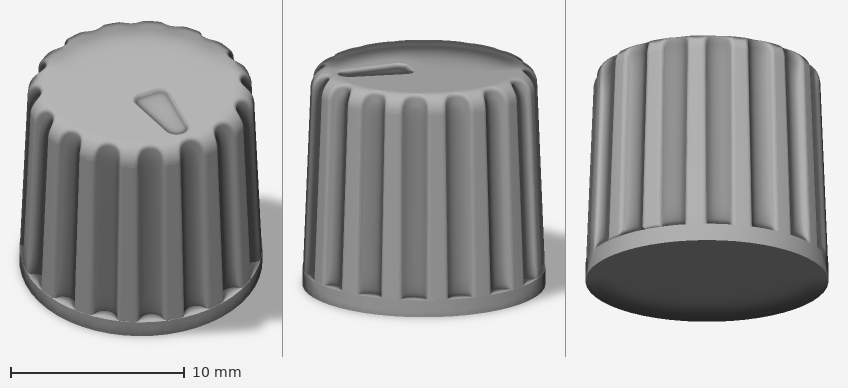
import cadquery as cq
import math

height = 13.0
rim_radius = 7.0
rim_height = 1.01

grip_base_radius = 6.97
grip_draft = 2.3
crown_radius = 1.09
grip_height = height - rim_height

flute_count = 16
flute_pitch = 360 / flute_count
flute_radius = 0.74
flute_floor_radius = 6.25
flute_axis_radius = flute_floor_radius + flute_radius
flute_overrun = 2.8
flute_lip_fillet = 0.22

flute_foot_rounding = 0.48
land_foot_rounding = 0.21
foot_cut_clearance = 0.14

pointer_heel_x = 0.77
pointer_heel_radius = 0.63
pointer_heel_center_x = pointer_heel_x + pointer_heel_radius
pointer_heel_center_y = 0.52
pointer_tip_x = 5.21
pointer_tip_radius = 0.77
pointer_tip_center_x = pointer_tip_x - pointer_tip_radius
pointer_depth = 0.22
pointer_wall_taper = 45
pointer_edge_fillet = 0.15


def wall_radius_at(z):
    """Radius of the drafted grip wall at height z."""
    return grip_base_radius - (z - rim_height) * math.tan(math.radians(grip_draft))


def make_grip():
    """Drafted grip with a rounded crown, standing on the rim."""
    profile = [
        (0, rim_height),
        (grip_base_radius, rim_height),
        (wall_radius_at(height), height),
        (0, height),
    ]
    grip = cq.Workplane("XZ").polyline(profile).close().revolve(360, (0, 0), (0, 1))
    return grip.edges(">Z").fillet(crown_radius)


def make_flute_cutter(index):
    """Cylinder that leans inward with the grip wall, turned to its place on the grip."""
    cutter = (
        cq.Workplane("XY")
        .workplane(offset=-flute_overrun)
        .circle(flute_radius)
        .extrude(grip_height + 2 * flute_overrun)
        .rotate((0, 0, 0), (0, 1, 0), -grip_draft)
        .translate((flute_axis_radius, 0, rim_height))
    )
    return cutter.rotate((0, 0, 0), (0, 0, 1), index * flute_pitch)


def is_flute_lip(edge):
    """True for the upright edges where a flute meets the grip wall or the crown."""
    tolerance = 0.01
    shortest_rise = 0.14
    box = edge.BoundingBox()
    middle = edge.positionAt(0.5)
    on_wall = abs(math.hypot(middle.x, middle.y) - wall_radius_at(middle.z)) < tolerance
    on_crown = box.zmin > height - crown_radius
    return box.zlen > shortest_rise and (on_wall or on_crown)


def cut_flutes(grip):
    """Cut every flute and round its lips."""
    for index in range(flute_count):
        grip = grip.cut(make_flute_cutter(index))
    lips = [edge for edge in grip.edges().vals() if is_flute_lip(edge)]
    return grip.newObject(lips).fillet(flute_lip_fillet)


def make_foot_cutter(wall_radius, rounding, side, sweep):
    """Ring, swept by an angle from +X, that leaves a quarter-round at the foot of a wall.

    side is +1 for a wall with material inside it and -1 for a wall with material around it.
    """
    bulge = (1 - math.sqrt(0.5)) * rounding
    top = rim_height + rounding
    clear_radius = wall_radius + side * foot_cut_clearance
    profile = (
        cq.Workplane("XZ")
        .moveTo(wall_radius - side * rounding, rim_height)
        .threePointArc((wall_radius - side * bulge, rim_height + bulge), (wall_radius, top))
        .lineTo(clear_radius, top)
        .lineTo(clear_radius, rim_height)
        .close()
    )
    return profile.revolve(sweep, (0, 0), (0, 1))


def round_foot(grip):
    """Round the lower edges of the -X flute and of the two lands beside it."""
    land_radius = wall_radius_at(rim_height + land_foot_rounding)
    lands = make_foot_cutter(land_radius, land_foot_rounding, 1, 2 * flute_pitch)
    lands = lands.rotate((0, 0, 0), (0, 0, 1), 180 - flute_pitch)

    flute = make_foot_cutter(flute_radius, flute_foot_rounding, -1, 360)
    flute = flute.rotate((0, 0, rim_height), (0, 1, rim_height), grip_draft)
    flute = flute.translate((-flute_axis_radius, 0, 0))
    return grip.cut(lands).cut(flute)


def make_pointer_cutter():
    """Tapered recess: a wide heel with rounded corners narrowing to a round tip towards +X."""
    run = pointer_tip_center_x - pointer_heel_center_x
    center_distance = math.hypot(run, pointer_heel_center_y)
    center_slope = math.atan2(pointer_heel_center_y, run)
    flank_slope = center_slope - math.asin((pointer_tip_radius - pointer_heel_radius) / center_distance)
    flank_normal = math.pi / 2 - flank_slope

    def heel_point(angle, sign):
        x = pointer_heel_center_x + pointer_heel_radius * math.cos(angle)
        y = pointer_heel_center_y + pointer_heel_radius * math.sin(angle)
        return (x, sign * y)

    def tip_point(sign):
        x = pointer_tip_center_x + pointer_tip_radius * math.cos(flank_normal)
        return (x, sign * pointer_tip_radius * math.sin(flank_normal))

    heel_middle = (flank_normal + math.pi) / 2
    outline = (
        cq.Workplane("XY")
        .workplane(offset=height)
        .moveTo(*heel_point(math.pi, 1))
        .threePointArc(heel_point(heel_middle, 1), heel_point(flank_normal, 1))
        .lineTo(*tip_point(1))
        .threePointArc((pointer_tip_x, 0), tip_point(-1))
        .lineTo(*heel_point(flank_normal, -1))
        .threePointArc(heel_point(heel_middle, -1), heel_point(math.pi, -1))
        .close()
    )
    return outline.extrude(-pointer_depth, taper=pointer_wall_taper)


def cut_pointer(knob):
    """Sink the pointer recess and round its upper edge."""
    knob = knob.cut(make_pointer_cutter())
    recess_edges = knob.faces(">Z").val().innerWires()[0].Edges()
    return knob.newObject(recess_edges).fillet(pointer_edge_fillet)


rim = cq.Workplane("XY").circle(rim_radius).extrude(rim_height)
grip = round_foot(cut_flutes(make_grip()))
result = cut_pointer(rim.union(grip))